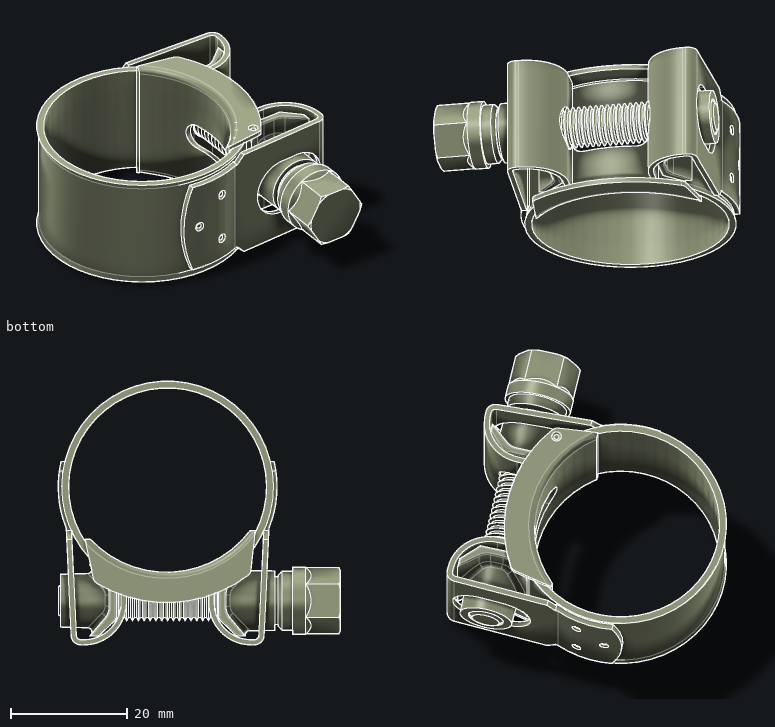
import cadquery as cq
import math


ring_inner_radius = 17.0
strip_thickness = 0.9
band_width = 20.1
ring_outer_radius = ring_inner_radius + strip_thickness
strap_radius = ring_outer_radius + strip_thickness
flare_radius = 18.2
flare_height = 0.9

loop_inner_x = 7.1
loop_top_y = 27.15
loop_corner_radius = 1.7
loop_corner_x = 16.6
loop_arch_radius = 7.3
loop_fold_radius = 0.85
leg_foot_y = 7.1
leg_foot_x = -math.sqrt(strap_radius**2 - leg_foot_y**2)
leg_taper_top_y = 9.0

strap_width = 17.08
strap_corner_y = -2.7
strap_tip_y = -4.35

dimple_radius = 0.82
dimple_floor_radius = 0.45
dimple_depth = 0.3
strap_dimples = [(3.6, 4.5), (3.6, -4.5), (-1.35, 0.0)]

bolt_y = 19.55
slot_bottom_y = 12.0
slot_top_y = 25.8
slot_width = 10.5
slot_depth = 4.6
bolt_clearance_radius = 3.7

bridge_turn = -3.0
bridge_center_y = -3.3
bridge_thickness = 0.82
bridge_inner_radius = 17.95
bridge_flange_radius = 23.2
bridge_width = 22.1
bridge_fold_radius = 1.05
bridge_shoulder_x = 13.5
bridge_end_x = 14.65
bridge_end_y = 8.25
bridge_shoulder_radius = 1.45
bridge_slot_length = 13.7
bridge_slot_width = 4.6
bridge_dimple = (12.05, 14.9)

plate_width = 17.85
plate_edge_fillet = 0.25
plate_front_x = 8.8
plate_front_half = 3.15
plate_back_x = 10.05
plate_back_half = 2.15
plate_back_radius = 2.9
plate_half_height = 6.1
plate_end_x = 11.9
plate_end_thickness = 1.5
barrel_end_x = 18.45
nut_barrel_radii = (4.55, 4.8)
plain_barrel_radii = (5.15, 5.25)
barrel_fillet = 0.75

shank_radius = 3.05
tip_radius = 2.4
tip_length = 0.35
tip_chamfer_length = 0.7
thread_radius = 3.5
thread_root_radius = 2.9
thread_length = 17.08
thread_count = 17
thread_pitch = thread_length / thread_count
thread_root_flat = 0.4
neck_radius = 4.1
collar_start_x = 18.95
collar_chamfer = 0.75
collar_radius = 5.1
flange_start_x = 21.5
flange_cone_x = 23.7
flange_cone_length = 0.9
flange_radius = 5.75
hex_flat_half = 4.95
head_end_x = 29.7
head_end_chamfer = 0.3
head_end_radius = 5.2


def prism(sketch, width):
    """Extrude an XY outline symmetrically about the Z = 0 plane."""
    return sketch.extrude(width / 2, both=True)


def dimple(point, inward):
    """Conical dimple cutter whose mouth is centred on a point."""
    cone = cq.Solid.makeCone(
        dimple_radius, dimple_floor_radius, dimple_depth, cq.Vector(*point), cq.Vector(*inward)
    )
    return cq.Workplane(obj=cone)


def x_revolve(profile):
    """Solid of revolution about the bolt axis from (X, radius) points."""
    outline = [(x, bolt_y + radius) for x, radius in profile]
    return cq.Workplane("XY").polyline(outline).close().revolve(360, (0, bolt_y, 0), (1, bolt_y, 0))


def mirrored(body):
    """Copy of a body reflected to the other side of X = 0."""
    return body.mirror("YZ")



def ring():
    """Open ring with both rims flared outward."""
    half_width = band_width / 2
    section = [
        (ring_inner_radius, -half_width),
        (flare_radius, -half_width),
        (ring_outer_radius, -half_width + flare_height),
        (ring_outer_radius, half_width - flare_height),
        (flare_radius, half_width),
        (ring_inner_radius, half_width),
    ]
    full_ring = cq.Workplane("XZ").polyline(section).close().revolve(360, (0, 0, 0), (0, 1, 0))
    gap = cq.Workplane("XY").box(2 * loop_inner_x, flare_radius, 2 * band_width, centered=(True, False, True))
    return full_ring.cut(gap)


def left_loop():
    """Folded strip of the left loop, standing on the outside of the ring."""
    leg_slope = (-loop_corner_x - leg_foot_x) / (loop_top_y - loop_corner_radius - leg_foot_y)
    leg_top_x = -loop_corner_x + leg_slope * loop_corner_radius
    arch_center_x = -loop_inner_x - loop_arch_radius
    arch_center_y = loop_top_y - loop_arch_radius
    arch_reach = loop_arch_radius * math.sqrt(0.5)
    arch_mid = (arch_center_x + arch_reach, arch_center_y + arch_reach)
    gap_y = math.sqrt(ring_inner_radius**2 - loop_inner_x**2)
    foot_scale = ring_inner_radius / strap_radius
    ring_foot = (leg_foot_x * foot_scale, leg_foot_y * foot_scale)
    mid_angle = (math.atan2(gap_y, -loop_inner_x) + math.atan2(leg_foot_y, leg_foot_x)) / 2
    ring_mid = (ring_inner_radius * math.cos(mid_angle), ring_inner_radius * math.sin(mid_angle))

    outline = (
        cq.Workplane("XY")
        .moveTo(leg_foot_x, leg_foot_y)
        .lineTo(leg_top_x, loop_top_y)
        .lineTo(arch_center_x, loop_top_y)
        .threePointArc(arch_mid, (-loop_inner_x, arch_center_y))
        .lineTo(-loop_inner_x, gap_y)
        .threePointArc(ring_mid, ring_foot)
        .close()
    )
    corner = cq.selectors.NearestToPointSelector((leg_top_x, loop_top_y, 0))
    solid = prism(outline, band_width).edges("|Z").edges(corner).fillet(loop_corner_radius)
    inside = solid.faces(">Z").wires().toPending().offset2D(-strip_thickness).extrude(-band_width, combine=False)
    loop = solid.cut(inside)

    taper = (band_width - strap_width) / 2
    for side in (1, -1):
        wedge = (
            cq.Workplane("YZ", origin=(-loop_corner_x - strap_radius, 0, 0))
            .polyline([
                (0, side * strap_width / 2),
                (leg_taper_top_y - taper, side * strap_width / 2),
                (leg_taper_top_y, side * band_width / 2),
                (0, side * band_width / 2),
            ])
            .close()
            .extrude(strap_radius + 2 * strip_thickness)
        )
        loop = loop.cut(wedge)

    slot_height = slot_top_y - slot_bottom_y
    slot = (
        cq.Workplane("YZ", origin=(-barrel_end_x, (slot_top_y + slot_bottom_y) / 2, 0))
        .slot2D(slot_height, slot_width)
        .extrude(slot_depth)
    )
    ring_space = prism(cq.Workplane("XY").circle(ring_outer_radius), 2 * band_width)
    return loop.cut(slot).cut(ring_space)


def left_strap():
    """Strap end lying on the outside of the ring, with its weld dimples."""
    shell = prism(cq.Workplane("XY").circle(strap_radius).circle(ring_outer_radius), strap_width)
    sector = prism(
        cq.Workplane("XY").polyline([
            (0, 0),
            (leg_foot_x * 2, leg_foot_y * 2),
            (-strap_radius * 2, 0),
            (-strap_radius * 2, strap_tip_y),
            (0, strap_tip_y),
        ]).close(),
        strap_width,
    )
    end_outline = (
        cq.Workplane("YZ", origin=(-strap_radius, 0, 0))
        .moveTo(leg_foot_y, -strap_width / 2)
        .lineTo(strap_corner_y, -strap_width / 2)
        .threePointArc((strap_tip_y, 0), (strap_corner_y, strap_width / 2))
        .lineTo(leg_foot_y, strap_width / 2)
        .close()
        .extrude(strap_radius)
    )
    strap = shell.intersect(sector).intersect(end_outline)
    for y, z in strap_dimples:
        x = -math.sqrt(strap_radius**2 - y**2)
        strap = strap.cut(dimple((x, y, z), (-x, -y, 0)))
    return strap


def make_band():
    """Ring with a loop and a welded strap end on each side."""
    left_end = left_loop().union(left_strap())
    band = ring().union(left_end).union(mirrored(left_end))
    for side in (1, -1):
        fold = cq.selectors.NearestToPointSelector((side * loop_inner_x, ring_inner_radius - strip_thickness, 0))
        band = band.edges("|Z").edges(fold).fillet(loop_fold_radius)
    hole = (
        cq.Workplane("YZ", origin=(-plate_front_x, bolt_y, 0))
        .circle(bolt_clearance_radius)
        .extrude(2 * plate_front_x)
    )
    return band.cut(hole)



def make_bridge():
    """Channel inside the ring, with folded flanges and a slotted web."""
    half_width = bridge_width / 2
    web_outer_radius = bridge_inner_radius + bridge_thickness
    rim = bridge_flange_radius + bridge_thickness
    channel_half_width = half_width - bridge_thickness

    def revolved_bar(inner_radius, outer_radius, half_height, fold_radius):
        bar = (
            cq.Workplane("XZ", origin=(0, bridge_center_y, 0))
            .moveTo((inner_radius + outer_radius) / 2, 0)
            .rect(outer_radius - inner_radius, 2 * half_height)
            .revolve(360, (0, 0, 0), (0, 1, 0))
        )
        rims = cq.selectors.RadiusNthSelector(0)
        return bar.edges("%CIRCLE").edges(rims).fillet(fold_radius)

    channel = revolved_bar(bridge_inner_radius, rim, half_width, bridge_fold_radius).cut(
        revolved_bar(web_outer_radius, 2 * rim, channel_half_width, bridge_fold_radius - bridge_thickness)
    )
    crown_y = bridge_center_y + bridge_flange_radius
    shoulder_y = bridge_center_y + math.sqrt(bridge_flange_radius**2 - bridge_shoulder_x**2)
    outline = (
        cq.Workplane("XY")
        .moveTo(-bridge_end_x, bridge_end_y)
        .lineTo(-bridge_shoulder_x, shoulder_y)
        .threePointArc((0, crown_y), (bridge_shoulder_x, shoulder_y))
        .lineTo(bridge_end_x, bridge_end_y)
        .close()
    )
    envelope = prism(outline, bridge_width).edges("|Z").edges(">Y").fillet(bridge_shoulder_radius)
    bridge = channel.intersect(envelope)
    slot = (
        cq.Workplane("XZ")
        .slot2D(bridge_slot_length, bridge_slot_width)
        .extrude(-crown_y)
    )
    bridge = bridge.cut(slot).cut(dimple((*bridge_dimple, half_width), (0, 0, -1)))
    return bridge.rotate((0, 0, 0), (0, 0, 1), bridge_turn)



def make_trunnion(barrel_radii):
    """Trunnion on the right (+X) side, bored for the bolt."""
    end_radius, root_radius = barrel_radii
    front = [
        (plate_end_x, -plate_half_height),
        (plate_front_x, -plate_front_half),
        (plate_front_x, plate_front_half),
        (plate_end_x, plate_half_height),
    ]
    plate_back_end_x = plate_end_x + plate_end_thickness
    back = [
        (plate_back_end_x, plate_half_height),
        (plate_back_x, plate_back_half),
        (plate_back_x, -plate_back_half),
        (plate_back_end_x, -plate_half_height),
    ]
    behind_front = [(barrel_end_x, plate_half_height), (barrel_end_x, -plate_half_height)]
    bolt_plane = cq.Workplane("XY", origin=(0, bolt_y, 0))

    plate = prism(bolt_plane.polyline(front + back).close(), plate_width)
    plate_middle_x = (plate_front_x + plate_back_x) / 2
    plate_shoulder_x = (plate_back_x + plate_back_end_x) / 2
    bend_edges = cq.selectors.BoxSelector(
        (plate_middle_x, bolt_y - plate_front_half, -plate_width),
        (plate_shoulder_x, bolt_y + plate_front_half, plate_width),
    )
    plate = plate.edges("|Z").edges(bend_edges).fillet(plate_back_radius)
    plate = plate.faces("|Z").edges().fillet(plate_edge_fillet)

    barrel = x_revolve([
        (plate_front_x, 0),
        (plate_front_x, root_radius),
        (barrel_end_x, end_radius),
        (barrel_end_x, 0),
    ])
    barrel = barrel.intersect(prism(bolt_plane.polyline(front + behind_front).close(), plate_width))
    root_edges = cq.selectors.BoxSelector(
        (plate_middle_x, bolt_y - root_radius, -root_radius),
        (plate_back_end_x, bolt_y + root_radius, root_radius),
    )
    body = plate.union(barrel)
    body = body.edges(root_edges).fillet(barrel_fillet)
    bore = cq.Workplane("YZ", origin=(0, bolt_y, 0)).circle(shank_radius).extrude(2 * barrel_end_x)
    return body.cut(bore)



def make_bolt():
    """Bolt with ridged thread, collared hexagon head at +X."""
    thread_half_length = thread_length / 2
    profile = [
        (-barrel_end_x - tip_length, 0),
        (-barrel_end_x - tip_length, tip_radius),
        (-barrel_end_x - tip_length + tip_chamfer_length, shank_radius),
        (-plate_front_x, shank_radius),
    ]
    for turn in range(thread_count):
        start_x = -thread_half_length + turn * thread_pitch
        profile += [
            (start_x, thread_root_radius),
            (start_x + thread_root_flat / 2, thread_root_radius),
            (start_x + thread_pitch / 2, thread_radius),
            (start_x + thread_pitch - thread_root_flat / 2, thread_root_radius),
        ]
    profile += [
        (thread_half_length, thread_root_radius),
        (plate_front_x, shank_radius),
        (barrel_end_x, shank_radius),
        (barrel_end_x, neck_radius),
        (collar_start_x, neck_radius),
        (collar_start_x, collar_radius - collar_chamfer),
        (collar_start_x + collar_chamfer, collar_radius),
        (flange_start_x, collar_radius),
        (flange_start_x, flange_radius),
        (flange_cone_x, flange_radius),
        (flange_cone_x + flange_cone_length, hex_flat_half),
        (flange_cone_x + flange_cone_length, 0),
    ]
    hex_corner_radius = hex_flat_half / math.cos(math.pi / 6)
    hexagon = (
        cq.Workplane("YZ", origin=(flange_start_x, bolt_y, 0))
        .polygon(6, 2 * hex_corner_radius)
        .extrude(head_end_x - flange_start_x)
    )
    head_limit = x_revolve([
        (flange_start_x, 0),
        (flange_start_x, flange_radius),
        (head_end_x - head_end_chamfer, flange_radius),
        (head_end_x, head_end_radius),
        (head_end_x, 0),
    ])
    return x_revolve(profile).union(hexagon.intersect(head_limit))


band = make_band()
bridge = make_bridge()
nut_trunnion = mirrored(make_trunnion(nut_barrel_radii))
plain_trunnion = make_trunnion(plain_barrel_radii)
bolt = make_bolt()

result = cq.Compound.makeCompound([
    band.solids().val(),
    bridge.solids().val(),
    nut_trunnion.solids().val(),
    plain_trunnion.solids().val(),
    bolt.solids().val(),
])